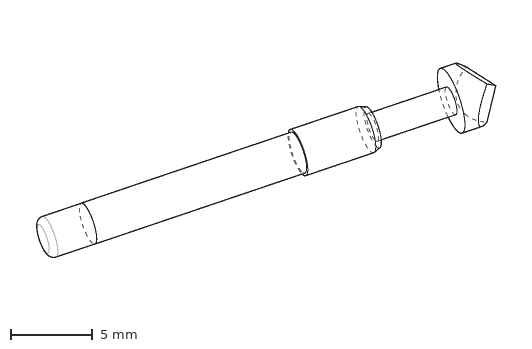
import cadquery as cq
import math

tail_length = 3.0
sleeve_start = 17.05
sleeve_length = 5.0
sleeve_end = sleeve_start + sleeve_length
head_base = 27.3
head_height = 3.0
tip = head_base + head_height

head_radius = 2.1
neck_radius = 0.9
sleeve_radius = 1.5
barrel_radius = 1.33
tail_radius = 1.32

tail_fillet = 0.4
sleeve_taper_length = 0.45
sleeve_taper_depth = 0.17

facet_count = 3
facet_slope = math.radians(45)


def rod(radius, start, end):
    """Solid cylinder on the Y axis from start to end."""
    return (
        cq.Workplane("XZ", origin=(0, start, 0))
        .circle(radius)
        .extrude(-(end - start))
    )


def make_tail():
    """Rear plug with a rounded end."""
    return rod(tail_radius, 0, tail_length).faces("<Y").edges().fillet(tail_fillet)


def make_sleeve():
    """Press ring with a lead-in taper toward the head."""
    taper_start = sleeve_end - sleeve_taper_length
    return (
        cq.Workplane("XY")
        .moveTo(0, sleeve_start)
        .lineTo(sleeve_radius, sleeve_start)
        .lineTo(sleeve_radius, taper_start)
        .lineTo(sleeve_radius - sleeve_taper_depth, sleeve_end)
        .lineTo(0, sleeve_end)
        .close()
        .revolve(360, (0, 0, 0), (0, 1, 0))
    )


def make_head():
    """Round head cut by equally spaced sloping facets that meet at a point on the axis."""
    head = rod(head_radius, head_base, tip)
    cut_reach = 2 * head_radius
    cut_fall = cut_reach * math.tan(facet_slope)
    wedge = (
        cq.Workplane("XY")
        .polyline([
            (-cut_reach, tip + cut_fall),
            (cut_reach, tip + cut_fall),
            (cut_reach, tip - cut_fall),
        ])
        .close()
        .extrude(cut_reach, both=True)
    )
    for index in range(facet_count):
        turn = index * 360 / facet_count
        head = head.cut(wedge.rotate((0, 0, 0), (0, 1, 0), turn))
    return head


barrel = rod(barrel_radius, tail_length, sleeve_start)
neck = rod(neck_radius, sleeve_end, head_base)

result = make_tail().union(barrel).union(make_sleeve()).union(neck).union(make_head())